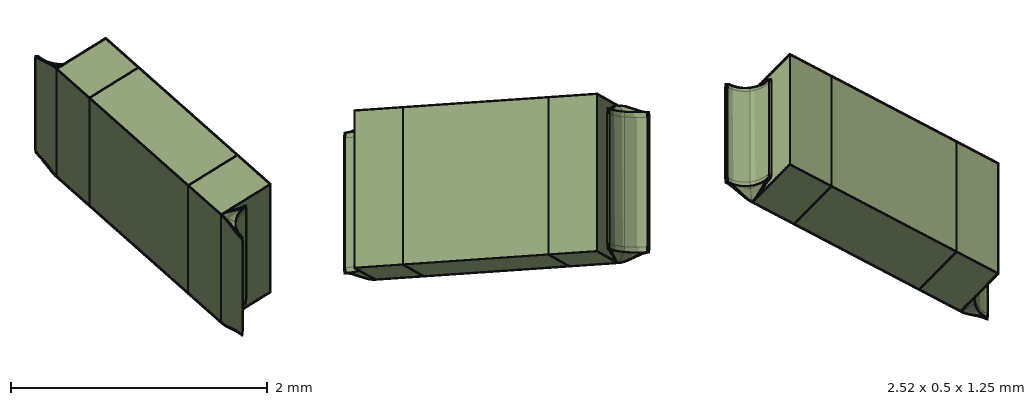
import cadquery as cq
import math

chip_length = 2.0
chip_height = 0.5
chip_width = 1.25
terminal_length = 0.4
core_length = chip_length - 2 * terminal_length

solder_leg = 0.26
wall_leg = 0.255
tip_bevel = 0.014
solder_middle_width = 1.03

taper_depth = 0.068
shoulder_scale = 0.98
tip_scale = 0.04
taper_steps = 6

trim_margin = 0.05

corner_x = -chip_length / 2
corner_y = -chip_height / 2


def block(length, center_x):
    """Full-section slice of the chip."""
    return cq.Workplane("XY").box(length, chip_height, chip_width).translate((center_x, 0, 0))


def fillet_section(z, scale):
    """Concave fillet section, scaled about the corner at the left end of the chip.

    The hollow is two arcs that meet on the section's diagonal.
    """
    floor = solder_leg * scale
    wall = wall_leg * scale
    bevel = tip_bevel * scale

    def hollow_point(share):
        angle = share * math.pi / 2
        x = -bevel - (floor - 2 * bevel) * (1 - math.cos(angle))
        y = bevel + (wall - 2 * bevel) * (1 - math.sin(angle))
        return (x, y)

    return (
        cq.Workplane("XY", origin=(corner_x, corner_y, z))
        .moveTo(trim_margin, -trim_margin)
        .lineTo(trim_margin, wall)
        .lineTo(0, wall)
        .lineTo(*hollow_point(0))
        .threePointArc(hollow_point(1 / 4), hollow_point(1 / 2))
        .threePointArc(hollow_point(3 / 4), hollow_point(1))
        .lineTo(-floor, 0)
        .lineTo(-floor, -trim_margin)
        .close()
    )


def taper_depth_at(scale):
    """Distance below the chip edge at which a fillet section has this scale."""
    return taper_depth * (1 - math.cos(math.pi * scale)) / 2


def loft(sections):
    """Smooth solid through a stack of sections."""
    return cq.Workplane(cq.Solid.makeLoft([section.wires().val() for section in sections]))


def solder_end():
    """Upper end of a fillet: a barely narrowing shoulder, then a taper to the chip edge."""
    shoulder_z = chip_width / 2 - taper_depth_at(shoulder_scale)
    shoulder = [
        fillet_section(solder_middle_width / 2, 1.0),
        fillet_section(shoulder_z, shoulder_scale),
    ]
    taper = []
    for step in range(taper_steps + 1):
        scale = shoulder_scale + (tip_scale - shoulder_scale) * step / taper_steps
        taper.append(fillet_section(chip_width / 2 - taper_depth_at(scale), scale))
    return loft(shoulder).union(loft(taper))


def left_solder():
    """Solder fillet at the left end, trimmed to the chip end face and the board plane."""
    middle = fillet_section(-solder_middle_width / 2, 1.0).extrude(solder_middle_width)
    upper_end = solder_end()
    untrimmed = middle.union(upper_end).union(upper_end.mirror("XY"))
    corner_space = (
        cq.Workplane("XY")
        .box(2 * solder_leg, chip_height, chip_width, centered=(False, True, True))
        .translate((corner_x - 2 * solder_leg, 0, 0))
    )
    return untrimmed.intersect(corner_space).solids()


core = block(core_length, 0)

terminal_offset = (chip_length - terminal_length) / 2
terminals = [block(terminal_length, side * terminal_offset) for side in (-1, 1)]

left_fillet = left_solder()
solders = [left_fillet, left_fillet.mirror("YZ").solids()]

result = cq.Compound.makeCompound([body.val() for body in [core, *terminals, *solders]])